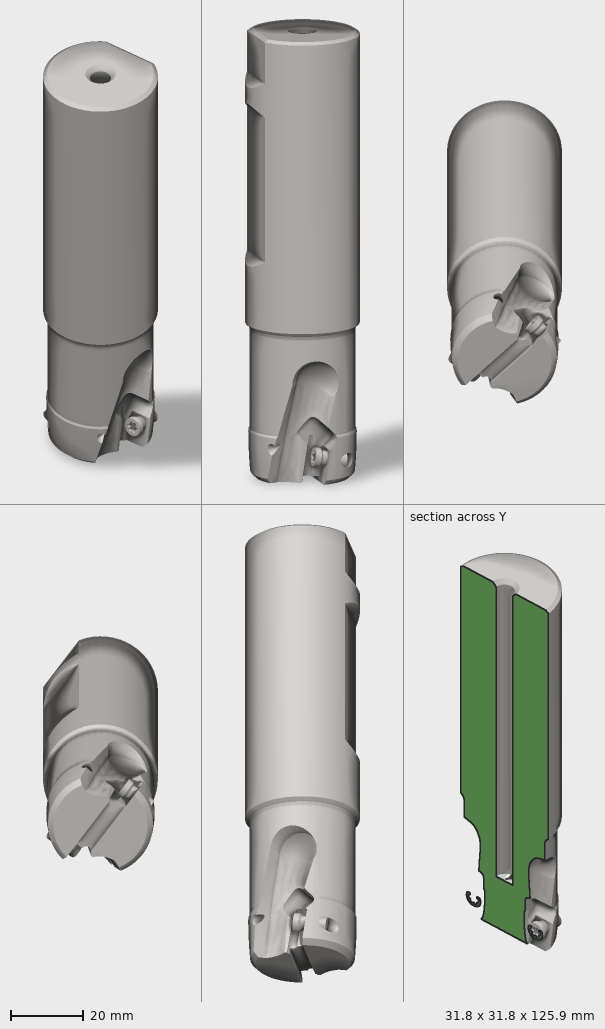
import cadquery as cq
import math

LENGTH = 125.9
SHANK_RADIUS = 15.9
NECK_RADIUS = 14.6
SHANK_BOTTOM = 43.5
FLUTE_COUNT = 2

TOP_CHAMFER_WIDTH = 1.1
TOP_CHAMFER_HEIGHT = 0.8
SHOULDER_CHAMFER = 1.0
NECK_TOP = 41.7
COLLAR_TOP = 14.0
HEAD_TOP = 13.3
HEAD_TOP_RADIUS = 15.0
HEAD_MIDDLE_RADIUS = 14.9
HEAD_BOTTOM_RADIUS = 14.5
HEAD_CHAMFER = 1.5

FLAT_Y = 13.5
FLAT_BOTTOM = 60.5
LAND_BOTTOM = 106.2
LAND_TOP = 111.0

BORE_RADIUS = 2.9
BORE_MOUTH_RADIUS = 4.2
BORE_BOTTOM = 20.1
BRANCH_RADIUS = 1.4
BRANCH_START = cq.Vector(1.0, 1.4, BORE_BOTTOM)
BRANCH_EXIT = cq.Vector(-9.0, 11.5, 10.3)

FLUTE_HALF_WIDTH = 5.8
FLUTE_HOLLOW = 2.5
FLUTE_RIM_X = -10.7
FLUTE_AXIS_Y = -4.3
FLUTE_WALL_FLARE = 18
FLUTE_TOP = 28.6
FLUTE_START_ANGLE = 50
FLUTE_TWIST = 32.5

SEAT_TILT = 9
SEAT_Y = -3.4
POCKET_WALL_X = -8.4
POCKET_TOP = 10.1
POCKET_WIDTH = 7.5
RELIEF_RADIUS = 1.3
RELIEF_TOP_Y = -0.5
RELIEF_TOP = 13.1
CLEARANCE_LENGTH = 8.7
CLEARANCE_WIDTH = 7.8
CLEARANCE_CORNER_RADIUS = 1.6
CLEARANCE_Y = -0.5
CLEARANCE_Z = 13.5
CLEARANCE_FLOOR_X = -7.5
CLEARANCE_FLOOR_RADIUS = 1.5
END_SLOT_WIDTH = 4.5
END_SLOT_DEPTH = 1.6

SCREW_X = -11.1
SCREW_Z = 7.2
SCREW_RADIUS = 2.0
SCREW_HEAD_RADIUS = 2.6
SCREW_HEAD_TOP = 3.6
SCREW_HEAD_RIM = 1.5
SCREW_DEPTH = 5.5
SOCKET_DEPTH = 1.3
SOCKET_CORE_RADIUS = 1.3
SOCKET_LOBE_RADIUS = 0.5
SOCKET_LOBES = 6

REACH = 2 * SHANK_RADIUS

tilt = math.radians(SEAT_TILT)
seat_plane = cq.Plane(
    origin=(SCREW_X, SEAT_Y, SCREW_Z),
    xDir=(-1, 0, 0),
    normal=(0, math.cos(tilt), math.sin(tilt)),
)


def around_axis(shape, index):
    """Turn a feature of the -X side to the given flute position."""
    return shape.rotate((0, 0, 0), (0, 0, 1), index * 360 / FLUTE_COUNT)


def turned_blank():
    """Shank, neck and barrelled cutting head as one revolved outline."""
    head_middle = (HEAD_CHAMFER + HEAD_TOP) / 2
    return (
        cq.Workplane("XZ")
        .lineTo(HEAD_BOTTOM_RADIUS - HEAD_CHAMFER, 0)
        .lineTo(HEAD_BOTTOM_RADIUS, HEAD_CHAMFER)
        .threePointArc((HEAD_MIDDLE_RADIUS, head_middle), (HEAD_TOP_RADIUS, HEAD_TOP))
        .lineTo(NECK_RADIUS, COLLAR_TOP)
        .lineTo(NECK_RADIUS, NECK_TOP)
        .lineTo(SHANK_RADIUS - SHOULDER_CHAMFER, SHANK_BOTTOM - SHOULDER_CHAMFER)
        .lineTo(SHANK_RADIUS, SHANK_BOTTOM)
        .lineTo(SHANK_RADIUS, LENGTH - TOP_CHAMFER_HEIGHT)
        .lineTo(SHANK_RADIUS - TOP_CHAMFER_WIDTH, LENGTH)
        .lineTo(0, LENGTH)
        .close()
        .revolve(360, (0, 0), (0, 1))
    )


def clamping_flat():
    """Flat with 45 degree ends, interrupted by a full-round land, bevelled at the top face."""
    drop = SHANK_RADIUS - FLAT_Y
    outside = SHANK_RADIUS
    lower = [
        (outside, FLAT_BOTTOM),
        (FLAT_Y, FLAT_BOTTOM + drop),
        (FLAT_Y, LAND_BOTTOM - drop),
        (outside, LAND_BOTTOM),
    ]
    upper = [
        (outside, LAND_TOP),
        (FLAT_Y, LAND_TOP + drop),
        (FLAT_Y, LENGTH - TOP_CHAMFER_HEIGHT),
        (FLAT_Y - TOP_CHAMFER_WIDTH, LENGTH),
        (outside, LENGTH),
    ]
    plane = cq.Workplane("YZ")
    lower_cut = plane.polyline(lower).close().extrude(SHANK_RADIUS, both=True)
    upper_cut = plane.polyline(upper).close().extrude(SHANK_RADIUS, both=True)
    return lower_cut.union(upper_cut)


def coolant_bore():
    """Central bore from the top face with a 45 degree countersunk mouth."""
    mouth_depth = BORE_MOUTH_RADIUS - BORE_RADIUS
    outline = [
        (0, BORE_BOTTOM),
        (BORE_RADIUS, BORE_BOTTOM),
        (BORE_RADIUS, LENGTH - mouth_depth),
        (BORE_MOUTH_RADIUS, LENGTH),
        (0, LENGTH),
    ]
    return cq.Workplane("XZ").polyline(outline).close().revolve(360, (0, 0), (0, 1))


def coolant_branch():
    """Slanted hole from the bore bottom to the flute wall near the head rim."""
    path = BRANCH_EXIT - BRANCH_START
    overrun = 2 * BRANCH_RADIUS
    hole = cq.Solid.makeCylinder(BRANCH_RADIUS, path.Length + overrun, BRANCH_START, path)
    return cq.Workplane(hole)


def flute_cutter():
    """Helically swept hollow with flared walls, closed at the top by the same form revolved."""
    wall_run = REACH / 2
    flare = wall_run * math.tan(math.radians(FLUTE_WALL_FLARE))
    outer_x = FLUTE_RIM_X - wall_run
    floor_x = FLUTE_RIM_X + FLUTE_HOLLOW
    left = FLUTE_AXIS_Y + FLUTE_HALF_WIDTH
    right = FLUTE_AXIS_Y - FLUTE_HALF_WIDTH

    channel = (
        cq.Workplane("XY")
        .moveTo(outer_x, left + flare)
        .lineTo(FLUTE_RIM_X, left)
        .threePointArc((floor_x, FLUTE_AXIS_Y), (FLUTE_RIM_X, right))
        .lineTo(outer_x, right - flare)
        .close()
        .twistExtrude(FLUTE_TOP, FLUTE_TWIST)
        .rotate((0, 0, 0), (0, 0, 1), -FLUTE_START_ANGLE)
    )

    arc_radius = (FLUTE_HALF_WIDTH**2 + FLUTE_HOLLOW**2) / (2 * FLUTE_HOLLOW)
    half_angle = math.asin(FLUTE_HALF_WIDTH / arc_radius) / 2
    arc_middle = (
        floor_x - arc_radius * (1 - math.cos(half_angle)),
        FLUTE_AXIS_Y + arc_radius * math.sin(half_angle),
    )
    rounded_end = (
        cq.Workplane("XY")
        .moveTo(outer_x, FLUTE_AXIS_Y)
        .lineTo(outer_x, left + flare)
        .lineTo(FLUTE_RIM_X, left)
        .threePointArc(arc_middle, (floor_x, FLUTE_AXIS_Y))
        .close()
        .revolve(360, (outer_x, FLUTE_AXIS_Y), (floor_x, FLUTE_AXIS_Y))
        .translate((0, 0, FLUTE_TOP))
        .rotate((0, 0, 0), (0, 0, 1), FLUTE_TWIST - FLUTE_START_ANGLE)
    )
    return channel, rounded_end


def insert_pocket():
    """Tilted seat with an upright inner wall, open to the flute, the rim and the end face."""
    wall = SCREW_X - POCKET_WALL_X
    top = (POCKET_TOP - SCREW_Z) / math.cos(tilt)
    return (
        cq.Workplane(seat_plane)
        .moveTo(wall, -REACH)
        .lineTo(wall, top)
        .lineTo(wall + REACH, top)
        .lineTo(wall + REACH, -REACH)
        .close()
        .extrude(POCKET_WIDTH)
    )


def wall_relief():
    """Round groove along the inner wall of the pocket, parallel to the seat."""
    down = cq.Vector(0, math.sin(tilt), -math.cos(tilt))
    top = cq.Vector(POCKET_WALL_X, RELIEF_TOP_Y, RELIEF_TOP)
    return cq.Workplane(cq.Solid.makeCylinder(RELIEF_RADIUS, REACH, top, down))


def corner_clearance():
    """Oblong recess turned by 45 degrees above the seat, with rounded edges and floor."""
    return (
        cq.Workplane("YZ", origin=(CLEARANCE_FLOOR_X, CLEARANCE_Y, CLEARANCE_Z))
        .transformed(rotate=(0, 0, 45))
        .rect(CLEARANCE_LENGTH, CLEARANCE_WIDTH)
        .extrude(-REACH)
        .edges("|X")
        .fillet(CLEARANCE_CORNER_RADIUS)
        .faces(">X")
        .edges()
        .fillet(CLEARANCE_FLOOR_RADIUS)
    )


def screw_hole():
    """Threaded hole through the seat to the far side of the head, at its nominal diameter."""
    return cq.Workplane(seat_plane).circle(SCREW_RADIUS).extrude(-REACH / 2)


def end_slot():
    """Slot across the end face joining both pockets."""
    return cq.Workplane("XY").rect(2 * REACH, END_SLOT_WIDTH).extrude(END_SLOT_DEPTH)


def make_holder():
    holder = turned_blank().cut(clamping_flat()).cut(coolant_bore()).cut(end_slot())
    side_features = [
        *flute_cutter(),
        insert_pocket(),
        corner_clearance(),
        wall_relief(),
        screw_hole(),
        coolant_branch(),
    ]
    for index in range(FLUTE_COUNT):
        for feature in side_features:
            holder = holder.cut(around_axis(feature, index))
    return holder


def make_screw():
    """Countersunk screw in its seat, with a six-lobed socket in the head."""
    outline = [
        (0, -SCREW_DEPTH),
        (SCREW_RADIUS, -SCREW_DEPTH),
        (SCREW_RADIUS, SCREW_HEAD_TOP - SCREW_HEAD_RIM - (SCREW_HEAD_RADIUS - SCREW_RADIUS)),
        (SCREW_HEAD_RADIUS, SCREW_HEAD_TOP - SCREW_HEAD_RIM),
        (SCREW_HEAD_RADIUS, SCREW_HEAD_TOP),
        (0, SCREW_HEAD_TOP),
    ]
    blank = cq.Workplane("XZ").polyline(outline).close().revolve(360, (0, 0), (0, 1))
    socket_floor = cq.Workplane("XY").workplane(offset=SCREW_HEAD_TOP - SOCKET_DEPTH)
    core = socket_floor.circle(SOCKET_CORE_RADIUS).extrude(SOCKET_DEPTH)
    lobes = (
        socket_floor.polarArray(SOCKET_CORE_RADIUS, 0, 360, SOCKET_LOBES)
        .circle(SOCKET_LOBE_RADIUS)
        .extrude(SOCKET_DEPTH)
    )
    screw = blank.cut(core).cut(lobes)
    return screw.solids().val().moved(cq.Location(seat_plane))


holder = make_holder()
screw = make_screw()
screws = [around_axis(screw, index) for index in range(FLUTE_COUNT)]

result = cq.Compound.makeCompound([holder.solids().val(), *screws])